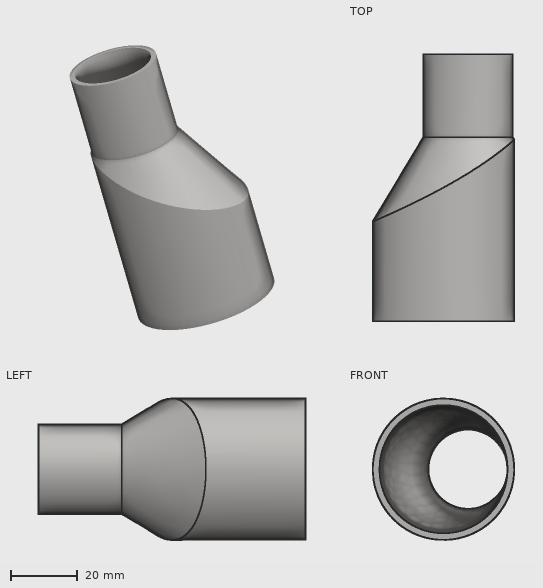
import cadquery as cq

length = 80.0
socket_diameter = 42.4
socket_bore = 38.4
socket_depth = 10.0
spigot_diameter = 26.9
spigot_bore = 23.7
spigot_length = 25.0
cone_slope = 0.6
blend_steps = 6

shoulder_y = length - spigot_length
spigot_offset = (socket_bore - spigot_bore) / 2

y_axis = cq.Vector(0, 1, 0)


def cylinder(diameter, height, x, y):
    """Cylinder along Y that starts at (x, y, 0)."""
    return cq.Workplane(obj=cq.Solid.makeCylinder(diameter / 2, height, cq.Vector(x, y, 0), y_axis))


def outer_body():
    """Socket cylinder trimmed by a cone on the spigot axis, plus the spigot."""
    spigot_radius = spigot_diameter / 2
    cone_base_radius = spigot_radius + cone_slope * shoulder_y
    cone_base = cq.Vector(spigot_offset, 0, 0)
    cone = cq.Solid.makeCone(cone_base_radius, spigot_radius, shoulder_y, cone_base, y_axis)
    socket = cylinder(socket_diameter, shoulder_y, 0, 0)
    spigot = cylinder(spigot_diameter, spigot_length, spigot_offset, shoulder_y)
    return socket.intersect(cq.Workplane(obj=cone)).union(spigot)


def bore_blend():
    """S-shaped passage from the socket bore to the spigot bore, nearly tangent to both."""
    sections = []
    for step in range(blend_steps + 1):
        fraction = step / blend_steps
        blend = fraction**2 * (3 - 2 * fraction)
        diameter = socket_bore + blend * (spigot_bore - socket_bore)
        y = socket_depth + fraction * (shoulder_y - socket_depth)
        center = cq.Vector(blend * spigot_offset, y, 0)
        sections.append(cq.Wire.makeCircle(diameter / 2, center, y_axis))
    return cq.Workplane(obj=cq.Solid.makeLoft(sections))


socket_hole = cylinder(socket_bore, socket_depth, 0, 0)
spigot_hole = cylinder(spigot_bore, spigot_length, spigot_offset, shoulder_y)

result = outer_body().cut(socket_hole).cut(spigot_hole).cut(bore_blend())